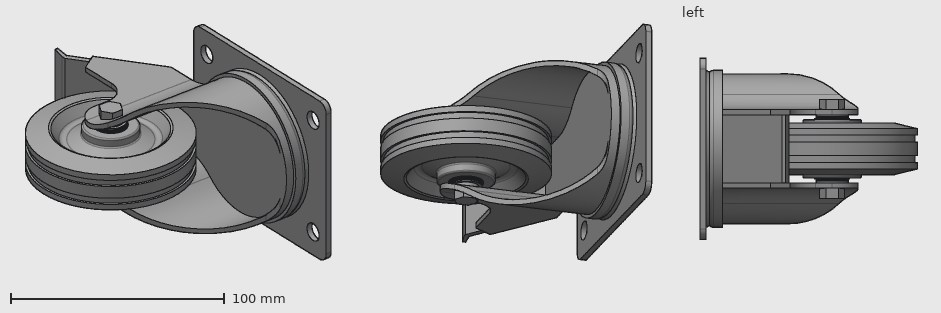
import cadquery as cq
import math


OVERALL_LENGTH = 157.6

WHEEL_RADIUS = 40.0
GROOVE_RADIUS = 77.7 / 2
RIM_HALF_WIDTH = 12.1
RIM_OUTER_RADIUS = 29.2
RIM_INNER_RADIUS = 28.0
RIM_CHAMFER = 0.5
TREAD_HALF_WIDTH = 9.5
GROOVE_OUTER_Z = 6.5
GROOVE_INNER_Z = 3.2
RECESS_FOOT = (24.3, 6.6)
WEB_FOOT = (20.6, 6.0)
WEB_TOP = (14.2, 9.0)
HUB_FOOT_Z = 9.8

HUB_RADIUS = 27.5 / 2
HUB_HALF_WIDTH = 13.7
HUB_ROUNDING = 0.8
COLLAR_RADIUS = 8.2
COLLAR_HALF_WIDTH = 14.2
SPACER_RADIUS = 15.1 / 2
SPACER_GROOVE_RADIUS = 7.2
SPACER_GROOVE_Z = 14.7
SPACER_GROOVE_WIDTH = 0.5
AXLE_RADIUS = 12.0 / 2
BOLT_ACROSS_FLATS = 10.1
BOLT_HALF_LENGTH = 23.2

PLATE_LENGTH = 99.9
PLATE_WIDTH = 85.0
PLATE_THICKNESS = 3.0
PLATE_CORNER_RADIUS = 5.0
PLATE_TOP_Y = 62.0
PLATE_BOTTOM_Y = PLATE_TOP_Y - PLATE_THICKNESS
SWIVEL_X = 38.0
HOLE_DIAMETER = 9.0
HOLE_SPACING_X = 80.0
HOLE_SPACING_Z = 60.0

BEARING_RADIUS = 73.6 / 2
BEARING_WAIST_RADIUS = 36.0
BEARING_WAIST_Y = 57.4
BEARING_SHOULDER_Y = 55.5

SHEET = 2.5
FORK_TOP_Y = 51.2
ROOF_BOTTOM_Y = 47.0
FORK_HALF_WIDTH = 18.5
FORK_INNER_HALF_WIDTH = FORK_HALF_WIDTH - SHEET
FORK_ROUND_RADIUS = 35.1
BEND_START_X = -4.0
LEG_RADIUS = 12.1
FRONT_BLEND_RADIUS = 10.0
CHEEK_BLEND_RADIUS = 12.0
CHEEK_BOTTOM_Y = 19.7
CHEEK_BOTTOM_END_X = -43.8
CHEEK_REAR_CORNER = (-50.1, 28.8)
CHEEK_TOP_REAR_X = -19.0

LEVER_ANGLE = math.radians(35)
LEVER_TOP_X = -21.0
LEVER_KNEE_X = -62.0
LEVER_HEEL = (-60.0, 20.2)
LEVER_HEEL_FLAT = 2.0
LEVER_TIP_X = SWIVEL_X + PLATE_LENGTH / 2 - OVERALL_LENGTH
LEVER_TIP_TOP_Y = 23.5
LEVER_TIP_THICKNESS = 1.5


def both_sides(half):
    """Join a half with its mirror image across the wheel's middle plane."""
    return half.union(half.mirror("XY"))


def revolve_about_axle(profile):
    """Revolve a (radius, z) profile around the wheel axle."""
    return profile.revolve(360, (0, 0, 0), (0, 1, 0))


def make_wheel():
    """Grooved tyre, dished rim, conical web and hub."""
    half_profile = (
        cq.Workplane("XZ")
        .lineTo(WHEEL_RADIUS, 0)
        .lineTo(WHEEL_RADIUS, GROOVE_INNER_Z)
        .lineTo(GROOVE_RADIUS, GROOVE_INNER_Z)
        .lineTo(GROOVE_RADIUS, GROOVE_OUTER_Z)
        .lineTo(WHEEL_RADIUS, GROOVE_OUTER_Z)
        .lineTo(WHEEL_RADIUS, TREAD_HALF_WIDTH)
        .lineTo(RIM_OUTER_RADIUS, RIM_HALF_WIDTH)
        .lineTo(RIM_INNER_RADIUS, RIM_HALF_WIDTH - RIM_CHAMFER)
        .lineTo(*RECESS_FOOT)
        .tangentArcPoint(WEB_FOOT, relative=False)
        .lineTo(*WEB_TOP)
        .tangentArcPoint((HUB_RADIUS, HUB_FOOT_Z), relative=False)
        .lineTo(HUB_RADIUS, HUB_HALF_WIDTH - HUB_ROUNDING)
        .tangentArcPoint((HUB_RADIUS - HUB_ROUNDING, HUB_HALF_WIDTH), relative=False)
        .lineTo(0, HUB_HALF_WIDTH)
        .close()
    )
    return both_sides(revolve_about_axle(half_profile))


def make_axle():
    """Collars, grooved spacers, axle and hexagonal bolt ends."""
    groove_end_z = SPACER_GROOVE_Z + SPACER_GROOVE_WIDTH
    spacer_profile = (
        cq.Workplane("XZ")
        .lineTo(COLLAR_RADIUS, 0)
        .lineTo(COLLAR_RADIUS, COLLAR_HALF_WIDTH)
        .lineTo(SPACER_RADIUS, COLLAR_HALF_WIDTH)
        .lineTo(SPACER_RADIUS, SPACER_GROOVE_Z)
        .lineTo(SPACER_GROOVE_RADIUS, SPACER_GROOVE_Z)
        .lineTo(SPACER_GROOVE_RADIUS, groove_end_z)
        .lineTo(SPACER_RADIUS, groove_end_z)
        .lineTo(SPACER_RADIUS, FORK_INNER_HALF_WIDTH)
        .lineTo(0, FORK_INNER_HALF_WIDTH)
        .close()
    )
    spacers = both_sides(revolve_about_axle(spacer_profile))
    axle = cq.Workplane("XY").circle(AXLE_RADIUS).extrude(FORK_HALF_WIDTH, both=True)
    across_corners = BOLT_ACROSS_FLATS / math.cos(math.pi / 6)
    bolt = (
        cq.Workplane("XY")
        .transformed(rotate=(0, 0, 90))
        .polygon(6, across_corners)
        .extrude(BOLT_HALF_LENGTH, both=True)
    )
    return spacers.union(axle).union(bolt)


def make_plate():
    """Rounded mounting plate with four bolt holes."""
    return (
        cq.Workplane("XZ", origin=(SWIVEL_X, PLATE_TOP_Y, 0))
        .rect(PLATE_LENGTH, PLATE_WIDTH)
        .extrude(PLATE_THICKNESS)
        .edges("|Y")
        .fillet(PLATE_CORNER_RADIUS)
        .faces(">Y")
        .workplane(centerOption="CenterOfBoundBox")
        .rect(HOLE_SPACING_X, HOLE_SPACING_Z, forConstruction=True)
        .vertices()
        .hole(HOLE_DIAMETER)
    )


def make_bearing():
    """Waisted swivel bearing between the plate and the fork."""
    return (
        cq.Workplane("XY", origin=(SWIVEL_X, 0, 0))
        .moveTo(0, FORK_TOP_Y)
        .lineTo(BEARING_RADIUS, FORK_TOP_Y)
        .lineTo(BEARING_RADIUS, BEARING_SHOULDER_Y)
        .tangentArcPoint((BEARING_WAIST_RADIUS, BEARING_WAIST_Y), relative=False)
        .lineTo(BEARING_RADIUS, PLATE_BOTTOM_Y)
        .lineTo(0, PLATE_BOTTOM_Y)
        .close()
        .revolve(360, (0, 0, 0), (0, 1, 0))
    )


def fork_footprint(inset, bottom_y, top_y):
    """Prism over the keyhole outline of the fork: two straight cheeks bent out around the swivel circle."""
    swivel_offset = SWIVEL_X - BEND_START_X
    outer_bend_radius = (swivel_offset**2 + FORK_HALF_WIDTH**2 - FORK_ROUND_RADIUS**2) / (
        2 * (FORK_ROUND_RADIUS - FORK_HALF_WIDTH)
    )
    bend_center_z = FORK_HALF_WIDTH + outer_bend_radius
    half_width = FORK_HALF_WIDTH - inset
    round_radius = FORK_ROUND_RADIUS - inset
    ratio = round_radius / (FORK_ROUND_RADIUS + outer_bend_radius)
    tangent_x = SWIVEL_X - swivel_offset * ratio
    tangent_z = bend_center_z * ratio
    return (
        cq.Workplane("XZ", origin=(0, bottom_y, 0))
        .moveTo(LEVER_TIP_X, half_width)
        .lineTo(BEND_START_X, half_width)
        .tangentArcPoint((tangent_x, tangent_z), relative=False)
        .threePointArc((SWIVEL_X + round_radius, 0), (tangent_x, -tangent_z))
        .tangentArcPoint((BEND_START_X, -half_width), relative=False)
        .lineTo(LEVER_TIP_X, -half_width)
        .close()
        .extrude(bottom_y - top_y)
    )


def fork_side_profile():
    """Prism over the outline of the fork seen along the axle."""
    front_x = SWIVEL_X + FORK_ROUND_RADIUS
    leg_reach = LEG_RADIUS / math.sqrt(2)
    front_corner_x = ROOF_BOTTOM_Y + 2 * leg_reach
    blend_setback = FRONT_BLEND_RADIUS * math.tan(math.pi / 8)
    blend_drop = blend_setback / math.sqrt(2)
    return (
        cq.Workplane("XY", origin=(0, 0, -FORK_ROUND_RADIUS))
        .moveTo(CHEEK_TOP_REAR_X, FORK_TOP_Y)
        .lineTo(front_x, FORK_TOP_Y)
        .lineTo(front_x, ROOF_BOTTOM_Y)
        .lineTo(front_corner_x + blend_setback, ROOF_BOTTOM_Y)
        .tangentArcPoint((front_corner_x - blend_drop, ROOF_BOTTOM_Y - blend_drop), relative=False)
        .lineTo(leg_reach, -leg_reach)
        .tangentArcPoint((-LEG_RADIUS, 0), relative=False)
        .lineTo(-LEG_RADIUS, CHEEK_BOTTOM_Y - CHEEK_BLEND_RADIUS)
        .tangentArcPoint((-LEG_RADIUS - CHEEK_BLEND_RADIUS, CHEEK_BOTTOM_Y), relative=False)
        .lineTo(CHEEK_BOTTOM_END_X, CHEEK_BOTTOM_Y)
        .lineTo(*CHEEK_REAR_CORNER)
        .close()
        .extrude(2 * FORK_ROUND_RADIUS)
    )


def make_fork():
    """Bent sheet fork, hollow below its roof."""
    outside = fork_footprint(0, -LEG_RADIUS, FORK_TOP_Y)
    inside = fork_footprint(SHEET, -LEG_RADIUS, ROOF_BOTTOM_Y)
    return outside.intersect(fork_side_profile()).cut(inside)


def make_lever():
    """Sloping brake lever between the cheeks, with an upturned tip."""
    slope = math.tan(LEVER_ANGLE)
    knee_y = FORK_TOP_Y - (LEVER_TOP_X - LEVER_KNEE_X) * slope
    underside_top_x = LEVER_TOP_X + SHEET / math.sin(LEVER_ANGLE)
    heel_x, heel_y = LEVER_HEEL
    outline = [
        (LEVER_TOP_X, FORK_TOP_Y),
        (LEVER_KNEE_X, knee_y),
        (LEVER_TIP_X, LEVER_TIP_TOP_Y),
        (LEVER_TIP_X, LEVER_TIP_TOP_Y - LEVER_TIP_THICKNESS),
        (heel_x - LEVER_HEEL_FLAT, heel_y),
        LEVER_HEEL,
        (underside_top_x, FORK_TOP_Y),
    ]
    return cq.Workplane("XY").polyline(outline).close().extrude(FORK_INNER_HALF_WIDTH, both=True)


result = make_plate()
for component in (make_bearing(), make_fork(), make_lever(), make_axle(), make_wheel()):
    result = result.union(component)